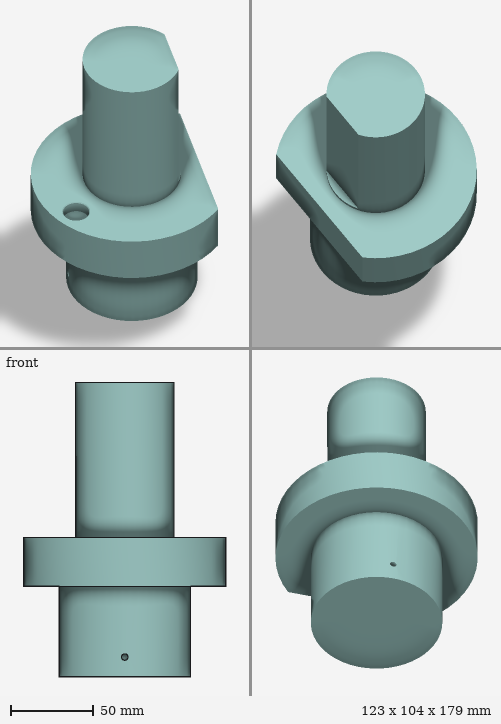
import cadquery as cq
import math

TOTAL_HEIGHT = 179
BASE_DIAMETER = 80.0
BASE_HEIGHT = 55.0
FLANGE_DIAMETER = 123.0
FLANGE_HEIGHT = 29.9
FLANGE_FLAT_Y = 42.5
POST_DIAMETER = 60.0
POST_FLAT_Y = 25
POST_FOOT_HEIGHT = 2.1

SOCKET_DIAMETER = 16.0
SOCKET_DEPTH = 7.2
SOCKET_CHAMFER = 0.5
SOCKET_ORBIT_RADIUS = 48.0
SOCKET_ANGLE = -60

DRILL_DIAMETER = 4.0
DRILL_HEIGHT = 12.0
DRILL_DEPTH = 4.0
DRILL_POINT_ANGLE = 118

FLANGE_TOP = BASE_HEIGHT + FLANGE_HEIGHT


def cylinder(diameter, bottom, top):
    return cq.Workplane("XY").workplane(offset=bottom).circle(diameter / 2).extrude(top - bottom)


def flatten_back(body, flat_y, bottom):
    """Remove everything beyond flat_y that lies above bottom."""
    cutter = (
        cq.Workplane("XY")
        .box(FLANGE_DIAMETER, FLANGE_DIAMETER, TOTAL_HEIGHT, centered=(True, False, False))
        .translate((0, flat_y, bottom))
    )
    return body.cut(cutter)


def make_socket():
    """Revolved cutter with a chamfered mouth."""
    radius = SOCKET_DIAMETER / 2
    angle = math.radians(SOCKET_ANGLE)
    profile = [
        (0, -SOCKET_DEPTH),
        (radius, -SOCKET_DEPTH),
        (radius, -SOCKET_CHAMFER),
        (radius + SOCKET_CHAMFER, 0),
        (0, 0),
    ]
    center = (SOCKET_ORBIT_RADIUS * math.cos(angle), SOCKET_ORBIT_RADIUS * math.sin(angle), FLANGE_TOP)
    return cq.Workplane("XZ").polyline(profile).close().revolve(360, (0, 0), (0, 1)).translate(center)


def make_drill():
    """Revolved cutter along +Y, ending in a conical point."""
    radius = DRILL_DIAMETER / 2
    tip_length = radius / math.tan(math.radians(DRILL_POINT_ANGLE / 2))
    mouth_y = -BASE_DIAMETER / 2
    shoulder_y = mouth_y + DRILL_DEPTH
    profile = [
        (0, mouth_y),
        (radius, mouth_y),
        (radius, shoulder_y),
        (0, shoulder_y + tip_length),
    ]
    cutter = cq.Workplane("XY").polyline(profile).close().revolve(360, (0, 0), (0, 1))
    return cutter.translate((0, 0, DRILL_HEIGHT))


base = cylinder(BASE_DIAMETER, 0, BASE_HEIGHT)
flange = flatten_back(cylinder(FLANGE_DIAMETER, BASE_HEIGHT, FLANGE_TOP), FLANGE_FLAT_Y, BASE_HEIGHT)
post = flatten_back(
    cylinder(POST_DIAMETER, FLANGE_TOP, TOTAL_HEIGHT), POST_FLAT_Y, FLANGE_TOP + POST_FOOT_HEIGHT
)

result = base.union(flange).union(post).cut(make_socket()).cut(make_drill())